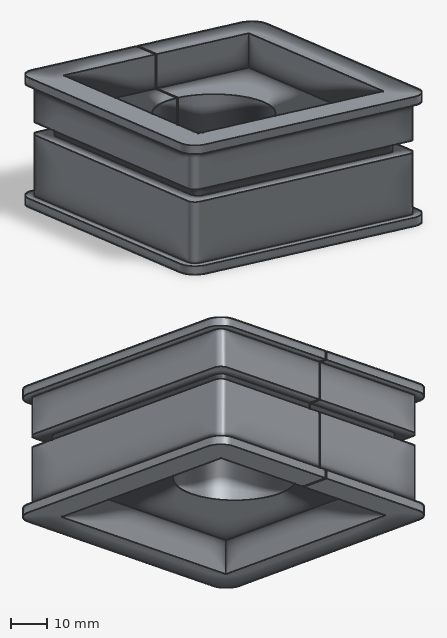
import cadquery as cq

side = 81.0
height = 37.5
corner_radius = 5.0

flange_thickness = 2.5
body_inset = 2.5
body_side = side - 2 * body_inset
body_corner_radius = corner_radius - body_inset

groove_inset = 6.5
groove_bottom = 20.25
groove_width = 3.65
groove_core_side = side - 2 * groove_inset
groove_core_radius = 2.5

pocket_side = 63.0
pocket_depth = 10.0

bore_diameter = 34.0
bore_x = -4.5
slit_width = 0.5


def rounded_square(width, radius, bottom, top):
    """Square prism with rounded vertical edges."""
    prism = cq.Workplane("XY").workplane(offset=bottom).rect(width, width).extrude(top - bottom)
    return prism.edges("|Z").fillet(radius)


def pocket(bottom):
    """Cutter for one sharp-cornered square pocket."""
    return cq.Workplane("XY").workplane(offset=bottom).rect(pocket_side, pocket_side).extrude(pocket_depth)


block = rounded_square(groove_core_side, groove_core_radius, 0, height)
groove_top = groove_bottom + groove_width
for bottom, top in ((0, groove_bottom), (groove_top, height)):
    block = block.union(rounded_square(body_side, body_corner_radius, bottom, top))
for bottom in (0, height - flange_thickness):
    block = block.union(rounded_square(side, corner_radius, bottom, bottom + flange_thickness))

for bottom in (0, height - pocket_depth):
    block = block.cut(pocket(bottom))

bore = cq.Workplane("XY").center(bore_x, 0).circle(bore_diameter / 2).extrude(height)
block = block.cut(bore)

slit_length = side / 2 + bore_x
slit = cq.Workplane("XY").box(slit_length, slit_width, height, centered=(False, True, False))
result = block.cut(slit.translate((-side / 2, 0, 0)))